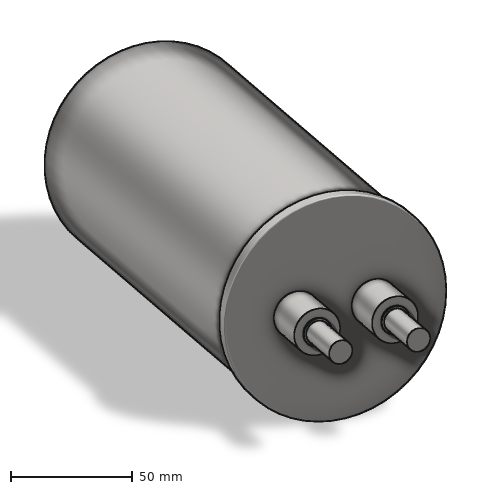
import cadquery as cq

total_length = 261.0

stud_diameter = 12.3
stud_length = 16.0

can_diameter = 95.3
can_end_fillet = 5.0
rim_diameter = 100.0
rim_width = 6.0
rim_edge_fillet = 0.8
rim_end_x = 214.8

terminal_spacing = 35.0
bushing_diameter = 20.5
bushing_length = 21.5
collar_diameter = 12.5
collar_length = 0.8
pin_diameter = 10.5


def cylinder_along_x(start_x, end_x, diameter, center_y=0.0):
    """Solid cylinder parallel to X between two X positions."""
    return (
        cq.Workplane("YZ", origin=(start_x, center_y, 0))
        .circle(diameter / 2)
        .extrude(end_x - start_x)
    )


def make_can():
    """Plain can with its closed end rounded."""
    can = cylinder_along_x(stud_length, rim_end_x, can_diameter)
    return can.faces("<X").edges().fillet(can_end_fillet)


def make_rim():
    """Raised rim with both outer edges rounded."""
    rim = cylinder_along_x(rim_end_x - rim_width, rim_end_x, rim_diameter)
    return rim.faces("<X or >X").edges().fillet(rim_edge_fillet)


def make_terminal(center_y):
    """Insulating bushing, thin collar and connection pin, in steps."""
    bushing_end_x = rim_end_x + bushing_length
    collar_end_x = bushing_end_x + collar_length
    bushing = cylinder_along_x(rim_end_x, bushing_end_x, bushing_diameter, center_y)
    collar = cylinder_along_x(bushing_end_x, collar_end_x, collar_diameter, center_y)
    pin = cylinder_along_x(collar_end_x, total_length, pin_diameter, center_y)
    return bushing.union(collar).union(pin)


stud = cylinder_along_x(0, stud_length, stud_diameter)
result = make_can().union(make_rim()).union(stud)
for side in (-1, 1):
    result = result.union(make_terminal(side * terminal_spacing / 2))